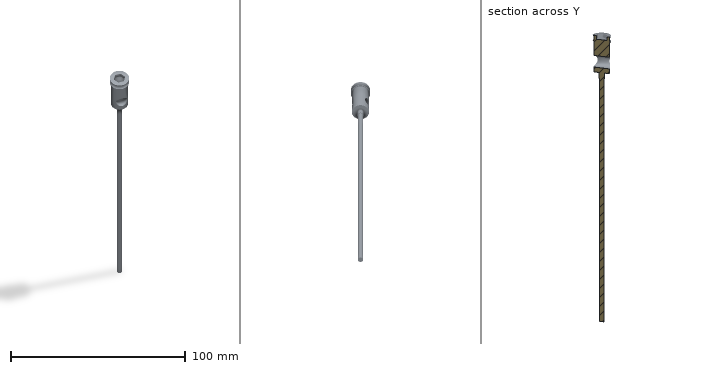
import cadquery as cq
import math

total_length = 172.5

rim_radius = 5.5
body_radius = 5.0
body_length = 22.5
body_bottom = total_length - body_length
bottom_chamfer = 0.2

groove_radius = 4.8
groove_floor_width = 0.3
rim_thickness = 0.2
collar_top = 3.3
collar_bottom = 3.6

neck_diameter = 3.6
neck_radius = neck_diameter / 2
neck_length = 3.3
neck_bottom = body_bottom - neck_length
rod_radius = 1.5

hex_across_flats = 5.9
hex_depth = 2.2

cross_hole_diameter = 6.7
cross_hole_depth = 15.9


def make_turned_body():
    """Revolve the half outline of the head, neck and rod about Z."""
    collar_top_z = total_length - collar_top
    rim_bottom_z = total_length - rim_thickness
    groove_middle_z = (collar_top_z + rim_bottom_z) / 2
    floor_bottom_z = groove_middle_z - groove_floor_width / 2
    floor_top_z = groove_middle_z + groove_floor_width / 2

    flank_depth = rim_radius - groove_radius
    flank_height = rim_bottom_z - floor_top_z
    flank_radius = (flank_depth**2 + flank_height**2) / (2 * flank_depth)
    half_angle = math.atan(flank_depth / flank_height)
    middle_radius = groove_radius + flank_radius * (1 - math.cos(half_angle))
    middle_height = flank_radius * math.sin(half_angle)
    lower_flank_middle = (middle_radius, floor_bottom_z - middle_height)
    upper_flank_middle = (middle_radius, floor_top_z + middle_height)

    outline = (
        cq.Workplane("XZ")
        .lineTo(rod_radius, 0)
        .lineTo(rod_radius, neck_bottom)
        .lineTo(neck_radius, neck_bottom)
        .lineTo(neck_radius, body_bottom)
        .lineTo(body_radius - bottom_chamfer, body_bottom)
        .lineTo(body_radius, body_bottom + bottom_chamfer)
        .lineTo(body_radius, total_length - collar_bottom)
        .lineTo(rim_radius, total_length - collar_bottom)
        .lineTo(rim_radius, collar_top_z)
        .threePointArc(lower_flank_middle, (groove_radius, floor_bottom_z))
        .lineTo(groove_radius, floor_top_z)
        .threePointArc(upper_flank_middle, (rim_radius, rim_bottom_z))
        .lineTo(rim_radius, total_length)
        .lineTo(0, total_length)
        .close()
    )
    return outline.revolve(360, (0, 0), (0, 1))


def make_hex_socket():
    """Hexagonal prism that sinks from the top face."""
    across_corners = hex_across_flats / math.cos(math.pi / 6)
    return (
        cq.Workplane("XY", origin=(0, 0, total_length - hex_depth))
        .polygon(6, across_corners)
        .extrude(hex_depth)
        .rotate((0, 0, 0), (0, 0, 1), 30)
    )


def make_cross_hole():
    """Cylinder along X that passes right through the head."""
    return (
        cq.Workplane("YZ", origin=(0, 0, total_length - cross_hole_depth))
        .circle(cross_hole_diameter / 2)
        .extrude(rim_radius, both=True)
    )


result = make_turned_body().cut(make_hex_socket()).cut(make_cross_hole())